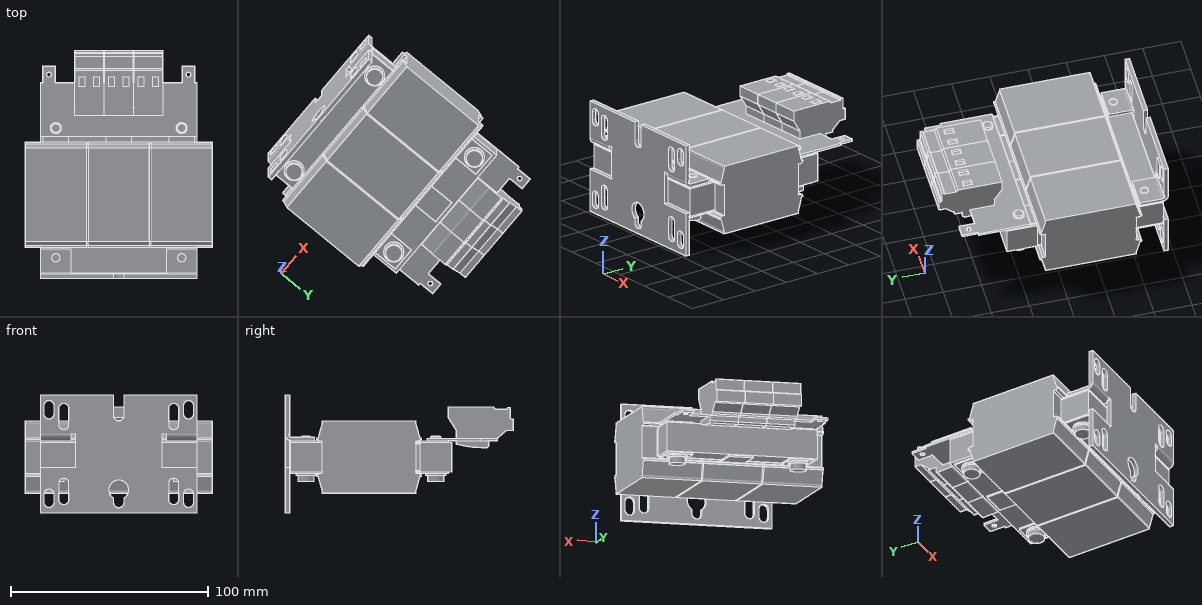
import cadquery as cq


total_width = 95.0
total_depth = 115.6
plate_width = 79.6
plate_height = 60.0
plate_thickness = 2.3

slot_width = 5.0
outer_slot_x = 35.4
outer_slot_z = 22.4
outer_slot_length = 9.3
inner_slot_x = 27.9
inner_slot_z = 19.0
inner_slot_length = 13.3
hanger_width = 5.2
notch_bottom = 16.9
keyhole_radius = 5.0
keyhole_z = -18.2
keyhole_bottom = -27.2

window_inner_x = 22.0
window_top = 10.2
window_bottom = -6.9
tab_inner_x = 24.2
tab_thickness = 1.9
tab_end = 14.9
bend_outer_radius = 3.1
bend_inner_radius = bend_outer_radius - tab_thickness

mid_z = -1.6
core_height = 15.0
liner_thickness = 0.8
stack_height = core_height + 2 * liner_thickness
stack_top = mid_z + stack_height / 2
stack_bottom = mid_z - stack_height / 2
front_yoke_start = 2.5
coil_front = 18.7
coil_back = 66.3
coil_height = 36.8
coil_gap = 0.7
coil_width = (total_width - 2 * coil_gap) / 3
coil_pitch = coil_width + coil_gap
flange_reach = 2.9
flange_lip = 0.8
flange_edge = 1.2
lip_outer = 9.8
lip_inner = 9.0
ledge_depth = 1.4
rear_yoke_start = 68.5
rear_yoke_end = 84.5
bobbin_end_height = 13.9
tongue_width = 12.8
tongue_end = 82.7
side_inset = 0.1
leg_x = 31.9

front_screw_y = 10.5
rear_screw_y = 76.3
washer_radius = 5.1
washer_thickness = 0.9
screw_head_radius = 4.2
screw_bottom = -14.0
front_stud_radius = 2.1
front_stud_height = 0.5
rear_stud_radius = 2.8
rear_stud_height = 1.3
rear_stud_chamfer = 0.6

carrier_front = 71.9
carrier_back = 99.3
carrier_thickness = 1.2
carrier_top = stack_top + carrier_thickness
lug_x = 35.4
lug_width = 6.5
lug_end = 107.7
lug_hole_y = 103.4
lug_hole_radius = 1.2

block_width = 44.8
module_count = 3
module_gap = 0.1
module_width = (block_width - (module_count - 1) * module_gap) / module_count
module_pitch = module_width + module_gap
wire_hole_pitch = module_pitch / 2
block_top = 23.9
body_front = 86.6
body_back = 107.5
overhang_front = 82.6
overhang_bottom = 12.1
overhang_top = 18.5
groove_front = 106.6
groove_back = 112.6
groove_slope = 1.0
groove_floor = 22.8
rim_top = 23.6
rim_back = 114.1
nose_top = 17.7
nose_bottom = 11.8
nose_bevel = 0.5
nose_underside_front = 112.1
foot_front_bottom = 5.0
foot_bend_y = 94.0
foot_bend_z = 3.5
foot_back = 103.3
foot_bottom = 3.0
foot_bevel = 1.0
wire_hole_width = 3.0
wire_hole_length = 4.6
wire_hole_y = 99.8
wire_hole_depth = 1.2


def box(x0, x1, y0, y1, z0, z1):
    """Box between two opposite corners."""
    return cq.Workplane("XY").box(x1 - x0, y1 - y0, z1 - z0, centered=False).translate((x0, y0, z0))


def upright_disc(radius, height, x, y, z):
    """Vertical cylinder standing on height z."""
    return cq.Workplane("XY").circle(radius).extrude(height).translate((x, y, z))


def side_profile(points, x_centre, width):
    """Closed Y-Z outline, extruded symmetrically about x_centre."""
    profile = cq.Workplane("YZ").polyline(points).close()
    return profile.extrude(width / 2, both=True).translate((x_centre, 0, 0))


def plate_slot(x, z, length, width):
    """Upright round-ended cutter through the mounting plate."""
    cutter = cq.Workplane("XZ").slot2D(length, width, 90).extrude(-plate_thickness)
    return cutter.translate((x, 0, z))


def make_mounting_plate():
    half_width = plate_width / 2
    half_height = plate_height / 2
    plate = box(-half_width, half_width, 0, plate_thickness, -half_height, half_height)
    for side in (-1, 1):
        for level in (-1, 1):
            outer_slot = plate_slot(side * outer_slot_x, level * outer_slot_z, outer_slot_length, slot_width)
            inner_slot = plate_slot(side * inner_slot_x, level * inner_slot_z, inner_slot_length, slot_width)
            plate = plate.cut(outer_slot).cut(inner_slot)

    notch_length = 2 * (half_height - notch_bottom)
    plate = plate.cut(plate_slot(0, half_height, notch_length, hanger_width))

    entry = cq.Workplane("XZ").circle(keyhole_radius).extrude(-plate_thickness).translate((0, 0, keyhole_z))
    tail_length = keyhole_z - keyhole_bottom
    tail = plate_slot(0, keyhole_bottom + tail_length / 2, tail_length, hanger_width)
    plate = plate.cut(entry).cut(tail)

    for side in (-1, 1):
        window_width = half_width - window_inner_x
        window_x = side * (half_width + window_inner_x) / 2
        window = box(-window_width / 2, window_width / 2, 0, plate_thickness, window_bottom, window_top)
        plate = plate.cut(window.translate((window_x, 0, 0)))
        plate = plate.union(make_tab().translate((side * (half_width + tab_inner_x) / 2, 0, 0)))
    return plate


def make_tab():
    """Tab that bends back from the plate over the front yoke."""
    bend_y = bend_outer_radius
    bend_z = stack_top + bend_outer_radius
    diagonal = 0.5 ** 0.5
    outer_mid = (bend_y - bend_outer_radius * diagonal, bend_z - bend_outer_radius * diagonal)
    inner_mid = (bend_y - bend_inner_radius * diagonal, bend_z - bend_inner_radius * diagonal)
    outline = (
        cq.Workplane("YZ")
        .moveTo(0, window_top)
        .lineTo(0, bend_z)
        .threePointArc(outer_mid, (bend_y, stack_top))
        .lineTo(tab_end, stack_top)
        .lineTo(tab_end, stack_top + tab_thickness)
        .lineTo(bend_y, stack_top + tab_thickness)
        .threePointArc(inner_mid, (bend_y - bend_inner_radius, bend_z))
        .lineTo(bend_y - bend_inner_radius, window_top)
        .close()
    )
    tab_width = plate_width / 2 - tab_inner_x
    return outline.extrude(tab_width / 2, both=True)


def make_core():
    half_width = plate_width / 2
    core_bottom = mid_z - core_height / 2
    core_top = mid_z + core_height / 2
    core = box(-half_width, half_width, front_yoke_start, coil_front, core_bottom, core_top)

    liner_half = half_width - side_inset
    liner_start = front_yoke_start + side_inset
    core = core.union(box(-liner_half, liner_half, liner_start, coil_front, core_top, stack_top))
    core = core.union(box(-liner_half, liner_half, liner_start, coil_front, stack_bottom, core_bottom))

    core = core.union(box(-half_width, half_width, rear_yoke_start, rear_yoke_end, core_bottom, core_top))

    bobbin_half = half_width - side_inset
    bobbin_bottom = mid_z - bobbin_end_height / 2
    bobbin_top = mid_z + bobbin_end_height / 2
    core = core.union(box(-bobbin_half, bobbin_half, coil_back, rear_yoke_start, bobbin_bottom, bobbin_top))

    for x in (-leg_x, 0, leg_x):
        left = x - tongue_width / 2
        right = x + tongue_width / 2
        core = core.union(box(left, right, coil_back, tongue_end, core_top, stack_top))
        core = core.union(box(left, right, coil_back, tongue_end, stack_bottom, core_bottom))
    return core


def make_coil(x):
    """Coil block with four sloped flanges ending in small lips."""
    half_height = coil_height / 2
    left = x - coil_width / 2
    right = x + coil_width / 2
    coil = box(left, right, coil_front, coil_back, mid_z - half_height, mid_z + half_height)
    for face_y, outward in ((coil_front, -1), (coil_back, 1)):
        for level in (-1, 1):
            lip_y = face_y + outward * flange_reach
            slope_y = lip_y - outward * flange_lip
            flange = [
                (face_y, mid_z + level * (half_height - flange_edge)),
                (slope_y, mid_z + level * lip_outer),
                (lip_y, mid_z + level * lip_outer),
                (lip_y, mid_z + level * lip_inner),
                (face_y + outward * ledge_depth, mid_z + level * stack_height / 2),
                (face_y, mid_z + level * stack_height / 2),
            ]
            coil = coil.union(side_profile(flange, x, coil_width))
    return coil


def make_screw(x, y):
    """Washer and round screw head below the core."""
    washer = upright_disc(washer_radius, washer_thickness, x, y, stack_bottom - washer_thickness)
    head = upright_disc(screw_head_radius, stack_bottom - screw_bottom, x, y, screw_bottom)
    return washer.union(head)


def make_carrier():
    half_width = plate_width / 2
    carrier = box(-half_width, half_width, carrier_front, carrier_back, stack_top, carrier_top)
    for x in (-lug_x, lug_x):
        lug = box(x - lug_width / 2, x + lug_width / 2, carrier_back, lug_end, stack_top, carrier_top)
        hole = upright_disc(lug_hole_radius, carrier_thickness, x, lug_hole_y, stack_top)
        carrier = carrier.union(lug).cut(hole)
    return carrier


def make_terminal_module(x):
    """One terminal housing with two wire holes, its clip foot below the carrier."""
    body_outline = [
        (body_front, stack_top),
        (body_front, overhang_bottom),
        (overhang_front, overhang_top),
        (overhang_front, block_top),
        (groove_front - groove_slope, block_top),
        (groove_front, groove_floor),
        (groove_back, groove_floor),
        (groove_back, rim_top),
        (rim_back, rim_top),
        (rim_back, nose_top + nose_bevel),
        (rim_back + nose_bevel, nose_top),
        (total_depth, nose_top),
        (total_depth, nose_bottom),
        (nose_underside_front, nose_bottom),
        (body_back, carrier_top),
        (body_back, stack_top),
    ]
    foot_outline = [
        (body_front, stack_top),
        (body_front, foot_front_bottom),
        (foot_bend_y, foot_bend_z),
        (foot_back - foot_bevel, foot_bottom),
        (foot_back, foot_bottom + foot_bevel),
        (foot_back, stack_top),
    ]
    module = side_profile(body_outline, x, module_width).union(side_profile(foot_outline, x, module_width))
    for side in (-1, 1):
        wire_hole = cq.Workplane("XY").box(wire_hole_width, wire_hole_length, 2 * wire_hole_depth)
        module = module.cut(wire_hole.translate((x + side * wire_hole_pitch / 2, wire_hole_y, block_top)))
    return module


result = make_mounting_plate().union(make_core())
for coil_index in (-1, 0, 1):
    result = result.union(make_coil(coil_index * coil_pitch))
result = result.union(make_carrier())
for module_index in range(module_count):
    module_x = (module_index - (module_count - 1) / 2) * module_pitch
    result = result.union(make_terminal_module(module_x))

for screw_x in (-leg_x, leg_x):
    for screw_y in (front_screw_y, rear_screw_y):
        result = result.union(make_screw(screw_x, screw_y))
    tab_top = stack_top + tab_thickness
    front_stud = upright_disc(front_stud_radius, front_stud_height, screw_x, front_screw_y, tab_top)
    rear_stud = upright_disc(rear_stud_radius, rear_stud_height, screw_x, rear_screw_y, carrier_top)
    result = result.union(front_stud).union(rear_stud.faces(">Z").chamfer(rear_stud_chamfer))